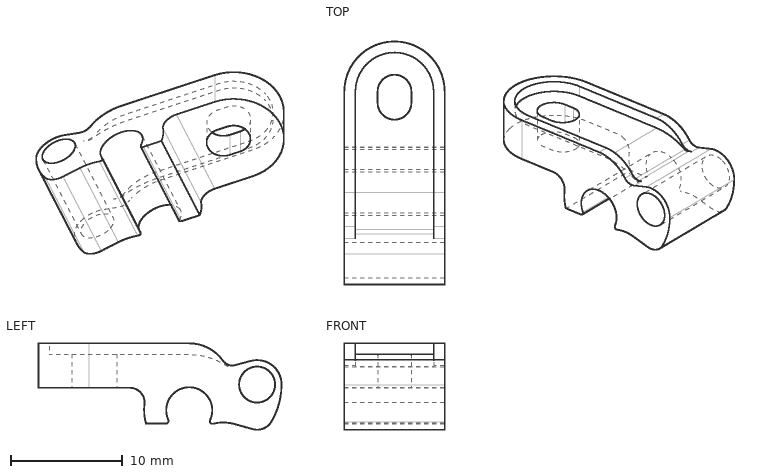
import cadquery as cq
import math

width = 9.0
top_z = 6.0
plate_thickness = 4.0
plate_bottom_z = top_z - plate_thickness
end_radius = width / 2
end_center_y = 9.0
plate_end_y = end_center_y + end_radius

groove_radius = 2.05
leg_outer_radius = 4.05
leg_bottom_z = -1.2
leg_root_radius = 1.3
lip_radius = 0.25

pin_y = -6.07
pin_z = 2.3
pin_radius = 1.6
lug_radius = 2.2
lug_slope = math.radians(15)
lug_front_radius = 6.5
lug_bottom_z = -1.75
lug_bottom_radius = 1.5

hollow_y = -3.05
hollow_z = -4.7
hollow_radius = 3.6

shoulder_radius = 3.7
shoulder_fillet = 1.0

rim = 1.0
floor_z = top_z - rim
floor_front_radius = 6.0
floor_fillet = 0.5

slot_width = 3.0
slot_length = 4.0


def polar(center, radius, angle):
    """Point on a circle at an angle measured from +Y toward +Z."""
    return (center[0] + radius * math.cos(angle), center[1] + radius * math.sin(angle))


def direction(start, end):
    return math.atan2(end[1] - start[1], end[0] - start[0])


def extrude_across(outline, length):
    """Extrude a closed YZ outline symmetrically about X = 0."""
    return outline.close().extrude(length / 2, both=True)


def circle_circle(center_a, radius_a, center_b, radius_b, side):
    """Crossing of two circles; side is +1 or -1, turning from the line a-b."""
    distance = math.dist(center_a, center_b)
    cosine = (distance**2 + radius_a**2 - radius_b**2) / (2 * distance * radius_a)
    return polar(center_a, radius_a, direction(center_a, center_b) + side * math.acos(cosine))


groove_center = (0.0, 0.0)
pin_center = (pin_y, pin_z)
hollow_center = (hollow_y, hollow_z)
shoulder_center = (0.0, top_z - shoulder_radius)
floor_center = (0.0, floor_z - floor_front_radius)
lug_tangent = polar(pin_center, lug_radius, math.pi / 2 - lug_slope)


def shoulder_end(center, radius):
    """Point where a shoulder circle meets the sloping top line of the lug."""
    normal = math.pi / 2 - lug_slope
    offset_y = lug_tangent[0] - center[0]
    offset_z = lug_tangent[1] - center[1]
    height = offset_y * math.cos(normal) + offset_z * math.sin(normal)
    return polar(center, radius, normal + math.acos(height / radius))


def edge_at(point):
    """Selector for the X-parallel edge through a YZ point."""
    reach = 0.01
    y, z = point
    return cq.selectors.BoxSelector((-width, y - reach, z - reach), (width, y + reach, z + reach))


def make_body():
    shoulder_corner = shoulder_end(shoulder_center, shoulder_radius)
    shoulder_middle = polar(
        shoulder_center,
        shoulder_radius,
        (math.pi / 2 + direction(shoulder_center, shoulder_corner)) / 2,
    )

    front_center = (pin_y - lug_radius + lug_front_radius, pin_z)
    bottom_center_z = lug_bottom_z + lug_bottom_radius
    bottom_reach = lug_front_radius - lug_bottom_radius
    bottom_center_y = front_center[0] - math.sqrt(bottom_reach**2 - (pin_z - bottom_center_z) ** 2)
    bottom_center = (bottom_center_y, bottom_center_z)
    front_angle = direction(front_center, bottom_center)
    front_end = polar(front_center, lug_front_radius, front_angle)
    front_middle = polar(front_center, lug_front_radius, (front_angle - math.pi) / 2)
    lug_middle = polar(pin_center, lug_radius, (math.pi / 2 - lug_slope + math.pi) / 2)

    center_distance = math.dist(bottom_center, hollow_center)
    swing = math.acos((lug_bottom_radius + hollow_radius) / center_distance)
    run_angle = direction(bottom_center, hollow_center) - swing
    run_start = polar(bottom_center, lug_bottom_radius, run_angle)
    run_end = polar(hollow_center, hollow_radius, run_angle + math.pi)
    bottom_point = (bottom_center_y, lug_bottom_z)
    hollow_top = (hollow_y, hollow_z + hollow_radius)

    front_lip = circle_circle(groove_center, groove_radius, hollow_center, hollow_radius, -1)
    rear_lip = (math.sqrt(groove_radius**2 - leg_bottom_z**2), leg_bottom_z)
    groove_top = (0.0, groove_radius)

    leg_corner = (math.sqrt(leg_outer_radius**2 - leg_bottom_z**2), leg_bottom_z)
    root_z = plate_bottom_z - leg_root_radius
    root_center = (math.sqrt((leg_outer_radius + leg_root_radius) ** 2 - root_z**2), root_z)
    root_angle = direction(groove_center, root_center)
    root_start = polar(groove_center, leg_outer_radius, root_angle)
    root_middle = polar(root_center, leg_root_radius, (root_angle + math.pi + math.pi / 2) / 2)
    root_end = (root_center[0], plate_bottom_z)

    outline = (
        cq.Workplane("YZ")
        .moveTo(plate_end_y, top_z)
        .lineTo(0, top_z)
        .threePointArc(shoulder_middle, shoulder_corner)
        .lineTo(*lug_tangent)
        .threePointArc(lug_middle, (pin_y - lug_radius, pin_z))
        .threePointArc(front_middle, front_end)
        .threePointArc(bottom_point, run_start)
        .lineTo(*run_end)
        .threePointArc(hollow_top, front_lip)
        .threePointArc(groove_top, rear_lip)
        .lineTo(*leg_corner)
        .threePointArc((leg_outer_radius, 0), root_start)
        .threePointArc(root_middle, root_end)
        .lineTo(plate_end_y, plate_bottom_z)
    )
    body = extrude_across(outline, width)
    body = body.edges(edge_at(shoulder_corner)).fillet(shoulder_fillet)
    for lip in (front_lip, rear_lip):
        body = body.edges(edge_at(lip)).fillet(lip_radius)
    return body


def rounded_plan(radius):
    """Tall block with straight sides and a round rear end, seen along Z."""
    front_y = 2 * pin_y
    return (
        cq.Workplane("XY")
        .moveTo(-radius, front_y)
        .lineTo(radius, front_y)
        .lineTo(radius, end_center_y)
        .threePointArc((0, end_center_y + radius), (-radius, end_center_y))
        .close()
        .extrude(2 * top_z, both=True)
    )


def make_tray():
    floor_corner = shoulder_end(floor_center, floor_front_radius)
    floor_middle = polar(
        floor_center,
        floor_front_radius,
        (math.pi / 2 + direction(floor_center, floor_corner)) / 2,
    )
    clear_z = top_z + rim
    outline = (
        cq.Workplane("YZ")
        .moveTo(plate_end_y, floor_z)
        .lineTo(0, floor_z)
        .threePointArc(floor_middle, floor_corner)
        .lineTo(*lug_tangent)
        .lineTo(lug_tangent[0], clear_z)
        .lineTo(plate_end_y, clear_z)
    )
    tray = extrude_across(outline, width)
    tray = tray.edges(edge_at(floor_corner)).fillet(floor_fillet)
    return tray.intersect(rounded_plan(end_radius - rim))


def make_pin_hole():
    return cq.Workplane("YZ").center(*pin_center).circle(pin_radius).extrude(width, both=True)


def make_screw_slot():
    slot_center_y = end_center_y - (slot_length - slot_width) / 2
    return (
        cq.Workplane("XY")
        .center(0, slot_center_y)
        .slot2D(slot_length, slot_width, 90)
        .extrude(2 * top_z)
    )


result = (
    make_body()
    .intersect(rounded_plan(end_radius))
    .cut(make_tray())
    .cut(make_pin_hole())
    .cut(make_screw_slot())
)